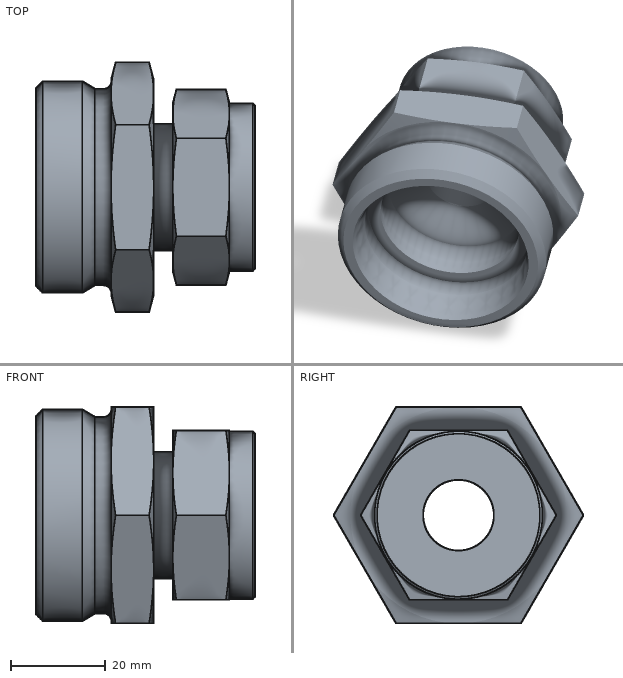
import cadquery as cq
import math

THREAD_END = 9.9
GROOVE_START = 12.55
GROOVE_END = 14.5
BODY_HEX_START = 16.0
BODY_HEX_END = 25.0
NUT_START = 29.1
NUT_END = 41.1
LENGTH = 46.6

THREAD_DIA = 45.05
GROOVE_DIA = 41.85
NECK_DIA = 27.0
COLLAR_DIA = 35.7
HEX_FLAT_TO_CORNER = math.cos(math.radians(30))
BODY_HEX_CORNERS = 53.1
BODY_HEX_FLATS = BODY_HEX_CORNERS * HEX_FLAT_TO_CORNER
NUT_FLATS = 36.0

THREAD_CHAMFER = 1.5
COLLAR_CHAMFER = 0.55
HEX_CHAMFER_ANGLE = 15

SOCKET_MOUTH_DIA = 38.05
SOCKET_DIA = 35.25
SOCKET_TAPER_ANGLE = 12
SOCKET_DEPTH = 10.5
PASSAGE_DIA = 29.95
PASSAGE_DEPTH = 19.1
BORE_DIA = 15.0
CONE_ANGLE = 60


def tan_deg(angle):
    return math.tan(math.radians(angle))


def revolve_about_x(profile):
    """Turn a closed (x, radius) profile about the X axis."""
    return profile.close().revolve(360, (0, 0, 0), (1, 0, 0))


def hexagon(start, end, flats):
    """Hexagonal prism along X, corners on +Y and -Y, both ends chamfered down to the flats."""
    flat_radius = flats / 2
    corner_radius = flat_radius / HEX_FLAT_TO_CORNER
    chamfer_length = (corner_radius - flat_radius) * tan_deg(HEX_CHAMFER_ANGLE)
    prism = cq.Workplane("YZ", origin=(start, 0, 0)).polygon(6, 2 * corner_radius).extrude(end - start)
    envelope = revolve_about_x(
        cq.Workplane("XY")
        .moveTo(start, 0)
        .lineTo(start, flat_radius)
        .lineTo(start + chamfer_length, corner_radius)
        .lineTo(end - chamfer_length, corner_radius)
        .lineTo(end, flat_radius)
        .lineTo(end, 0)
    )
    return prism.intersect(envelope)


def turned_body():
    """Threaded end, relief groove, neck and collar as one solid of revolution."""
    thread_radius = THREAD_DIA / 2
    groove_radius = GROOVE_DIA / 2
    neck_radius = NECK_DIA / 2
    collar_radius = COLLAR_DIA / 2
    fillet_radius = BODY_HEX_START - GROOVE_END
    fillet_top_radius = groove_radius + fillet_radius
    return revolve_about_x(
        cq.Workplane("XY")
        .lineTo(0, thread_radius - THREAD_CHAMFER)
        .lineTo(THREAD_CHAMFER, thread_radius)
        .lineTo(THREAD_END, thread_radius)
        .lineTo(GROOVE_START, groove_radius)
        .lineTo(GROOVE_END, groove_radius)
        .radiusArc((BODY_HEX_START, fillet_top_radius), -fillet_radius)
        .lineTo(BODY_HEX_END, fillet_top_radius)
        .lineTo(BODY_HEX_END, neck_radius)
        .lineTo(NUT_START, neck_radius)
        .lineTo(NUT_START, collar_radius)
        .lineTo(LENGTH - COLLAR_CHAMFER, collar_radius)
        .lineTo(LENGTH, collar_radius - COLLAR_CHAMFER)
        .lineTo(LENGTH, 0)
    )


def cavity():
    """Tapered tube socket, shoulder, passage, reducing cone and through bore."""
    cone_length = (PASSAGE_DIA - BORE_DIA) / 2 / tan_deg(CONE_ANGLE)
    taper_length = (SOCKET_MOUTH_DIA - SOCKET_DIA) / 2 / tan_deg(SOCKET_TAPER_ANGLE)
    return revolve_about_x(
        cq.Workplane("XY")
        .lineTo(0, SOCKET_MOUTH_DIA / 2)
        .lineTo(taper_length, SOCKET_DIA / 2)
        .lineTo(SOCKET_DEPTH, SOCKET_DIA / 2)
        .lineTo(SOCKET_DEPTH, PASSAGE_DIA / 2)
        .lineTo(PASSAGE_DEPTH, PASSAGE_DIA / 2)
        .lineTo(PASSAGE_DEPTH + cone_length, BORE_DIA / 2)
        .lineTo(LENGTH, BORE_DIA / 2)
        .lineTo(LENGTH, 0)
    )


body_hex = hexagon(BODY_HEX_START, BODY_HEX_END, BODY_HEX_FLATS)
nut_hex = hexagon(NUT_START, NUT_END, NUT_FLATS)
result = turned_body().union(body_hex).union(nut_hex).cut(cavity())